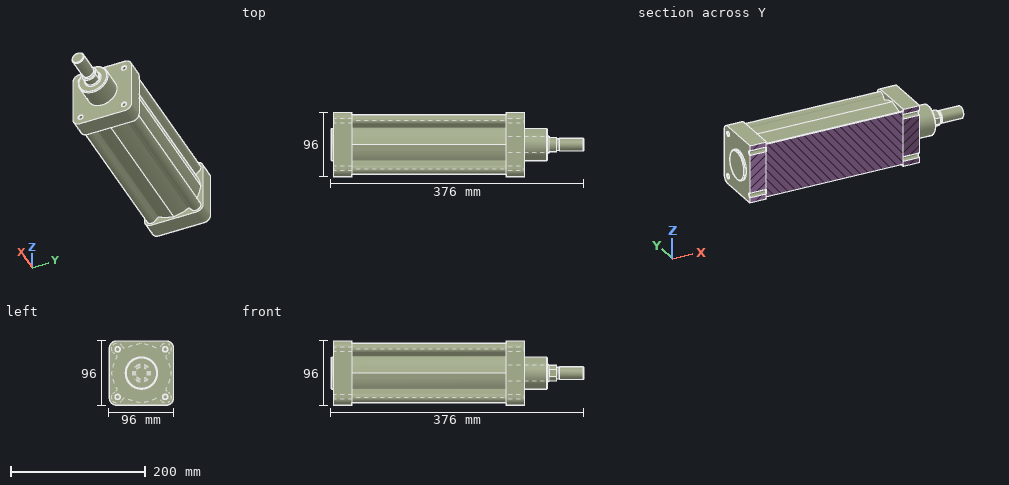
import cadquery as cq
import math

REAR_BOSS_LENGTH = 3.8
CAP_LENGTH = 27.5
TUBE_LENGTH = 229.5
FRONT_BOSS_LENGTH = 34.0
TOTAL_LENGTH = 376.0
REAR_CAP_START = REAR_BOSS_LENGTH
TUBE_START = REAR_CAP_START + CAP_LENGTH
FRONT_CAP_START = TUBE_START + TUBE_LENGTH
FRONT_CAP_END = FRONT_CAP_START + CAP_LENGTH
FRONT_BOSS_END = FRONT_CAP_END + FRONT_BOSS_LENGTH

CAP_SIDE = 96.0
CAP_CORNER_RADIUS = 11.3
BOSS_RADIUS = 24.0
BOSS_CHAMFER = 1.5
SCREW_OFFSET = 35.5
SCREW_HOLE_RADIUS = 3.5
SCREW_HOLE_CHAMFER = 0.8

LIP_LENGTH = 2.0
LIP_BASE_RADIUS = 13.5
LIP_TIP_RADIUS = 12.5

TUBE_RADIUS = 43.2
RIDGE_HALF_WIDTH = 9.8
RIB_OFFSET = 36.0
RIB_RADIUS = 8.3
RIB_SHOULDER_LENGTH = 2.0
RIB_WEB_HALF_WIDTH = 8.0
RIB_ROOT_FILLET = 2.0

ROD_RADIUS = 12.0
FLAT_LENGTH = 10.5
FLAT_OFFSET = 11.0
FLAT_END = 335.5
UNDERCUT_RADIUS = 9.0
UNDERCUT_LENGTH = 3.5
THREAD_RADIUS = 9.8
THREAD_CHAMFER = 1.0


def plane_at(x):
    """Plane facing +X at the given x, with its local axes along Y and Z."""
    return cq.Workplane("YZ", origin=(x, 0, 0))


def make_cap(start, outer_x, inward):
    """Square end cap with four chamfered screw holes that open on the face at outer_x."""
    cap = plane_at(start).rect(CAP_SIDE, CAP_SIDE).extrude(CAP_LENGTH)
    cap = cap.edges("|X").fillet(CAP_CORNER_RADIUS)
    mouth_radius = SCREW_HOLE_RADIUS + SCREW_HOLE_CHAMFER
    axis = cq.Vector(inward, 0, 0)
    for y in (-SCREW_OFFSET, SCREW_OFFSET):
        for z in (-SCREW_OFFSET, SCREW_OFFSET):
            mouth = cq.Vector(outer_x, y, z)
            hole = cq.Solid.makeCylinder(SCREW_HOLE_RADIUS, CAP_LENGTH, mouth, axis)
            chamfer = cq.Solid.makeCone(mouth_radius, SCREW_HOLE_RADIUS, SCREW_HOLE_CHAMFER, mouth, axis)
            cap = cap.cut(cq.Workplane(hole)).cut(cq.Workplane(chamfer))
    return cap


def make_rear_cap():
    boss = plane_at(0).circle(BOSS_RADIUS).extrude(REAR_BOSS_LENGTH)
    boss = boss.faces("<X").edges().chamfer(BOSS_CHAMFER)
    return make_cap(REAR_CAP_START, REAR_CAP_START, 1).union(boss)


def make_front_cap():
    boss = plane_at(FRONT_CAP_END).circle(BOSS_RADIUS).extrude(FRONT_BOSS_LENGTH)
    boss = boss.faces(">X").edges().chamfer(BOSS_CHAMFER)
    lip = cq.Solid.makeCone(
        LIP_BASE_RADIUS, LIP_TIP_RADIUS, LIP_LENGTH, cq.Vector(FRONT_BOSS_END, 0, 0), cq.Vector(1, 0, 0)
    )
    bore_length = CAP_LENGTH + FRONT_BOSS_LENGTH + LIP_LENGTH
    bore = plane_at(FRONT_CAP_START).circle(ROD_RADIUS).extrude(bore_length)
    cap = make_cap(FRONT_CAP_START, FRONT_CAP_END, -1)
    return cap.union(boss).union(cq.Workplane(lip)).cut(bore)


def make_tube():
    tube = plane_at(TUBE_START).circle(TUBE_RADIUS).extrude(TUBE_LENGTH)

    tangent_y = math.sqrt(TUBE_RADIUS**2 - RIDGE_HALF_WIDTH**2)
    ridge_peak = TUBE_RADIUS**2 / tangent_y
    ridge = (
        plane_at(TUBE_START)
        .moveTo(0, 0)
        .lineTo(tangent_y, -RIDGE_HALF_WIDTH)
        .lineTo(ridge_peak, 0)
        .lineTo(tangent_y, RIDGE_HALF_WIDTH)
        .close()
        .extrude(TUBE_LENGTH)
    )
    rib_reach = RIB_OFFSET * math.sqrt(2)
    shoulder_start = rib_reach - RIB_SHOULDER_LENGTH
    rib = (
        plane_at(TUBE_START)
        .moveTo(0, -RIB_WEB_HALF_WIDTH)
        .lineTo(shoulder_start, -RIB_WEB_HALF_WIDTH)
        .lineTo(rib_reach, -RIB_RADIUS)
        .threePointArc((rib_reach + RIB_RADIUS, 0), (rib_reach, RIB_RADIUS))
        .lineTo(shoulder_start, RIB_WEB_HALF_WIDTH)
        .lineTo(0, RIB_WEB_HALF_WIDTH)
        .close()
        .extrude(TUBE_LENGTH)
    )
    for quarter in range(4):
        turn = 90 * quarter
        tube = tube.union(ridge.rotate((0, 0, 0), (1, 0, 0), turn))
        tube = tube.union(rib.rotate((0, 0, 0), (1, 0, 0), turn + 45))

    root_distance = math.sqrt(TUBE_RADIUS**2 - RIB_WEB_HALF_WIDTH**2)
    root_y = (root_distance + RIB_WEB_HALF_WIDTH) / math.sqrt(2)
    root_z = (root_distance - RIB_WEB_HALF_WIDTH) / math.sqrt(2)
    middle_x = TUBE_START + TUBE_LENGTH / 2
    for a, b in ((root_y, root_z), (root_z, root_y)):
        for side_y in (-1, 1):
            for side_z in (-1, 1):
                root = cq.selectors.NearestToPointSelector((middle_x, side_y * a, side_z * b))
                tube = tube.edges("|X").edges(root).fillet(RIB_ROOT_FILLET)
    return tube


def make_rod():
    thread_start = FLAT_END + UNDERCUT_LENGTH
    outline = (
        cq.Workplane("XY")
        .moveTo(FRONT_CAP_START, 0)
        .lineTo(FRONT_CAP_START, ROD_RADIUS)
        .lineTo(FLAT_END, ROD_RADIUS)
        .lineTo(FLAT_END, UNDERCUT_RADIUS)
        .lineTo(thread_start, UNDERCUT_RADIUS)
        .lineTo(thread_start + THREAD_CHAMFER, THREAD_RADIUS)
        .lineTo(TOTAL_LENGTH - THREAD_CHAMFER, THREAD_RADIUS)
        .lineTo(TOTAL_LENGTH, THREAD_RADIUS - THREAD_CHAMFER)
        .lineTo(TOTAL_LENGTH, 0)
        .close()
    )
    rod = outline.revolve(360, (0, 0, 0), (1, 0, 0))
    flat_depth = ROD_RADIUS - FLAT_OFFSET
    for side in (-1, 1):
        cutter = cq.Workplane("XY").box(FLAT_LENGTH, flat_depth, 2 * ROD_RADIUS)
        center_y = side * (FLAT_OFFSET + flat_depth / 2)
        rod = rod.cut(cutter.translate((FLAT_END - FLAT_LENGTH / 2, center_y, 0)))
    return rod


rear_cap = make_rear_cap()
tube = make_tube()
front_cap = make_front_cap()
rod = make_rod()

result = cq.Compound.makeCompound([rear_cap.val(), tube.val(), front_cap.val(), rod.val()])